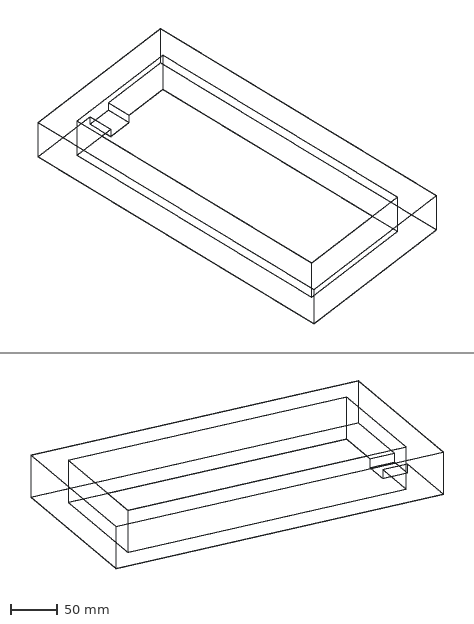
import cadquery as cq

length = 400.0
width = 200.0
total_height = 61.5

frame_height = 51.0
wall = 30.0

tab_side = wall
tab_height = total_height - frame_height

frame = (
    cq.Workplane("XY")
    .rect(length, width)
    .rect(length - 2 * wall, width - 2 * wall)
    .extrude(frame_height)
)

tab = (
    cq.Workplane("XY")
    .center(-length / 2 + tab_side / 2, 0)
    .rect(tab_side, tab_side)
    .extrude(-tab_height)
)

result = frame.union(tab)